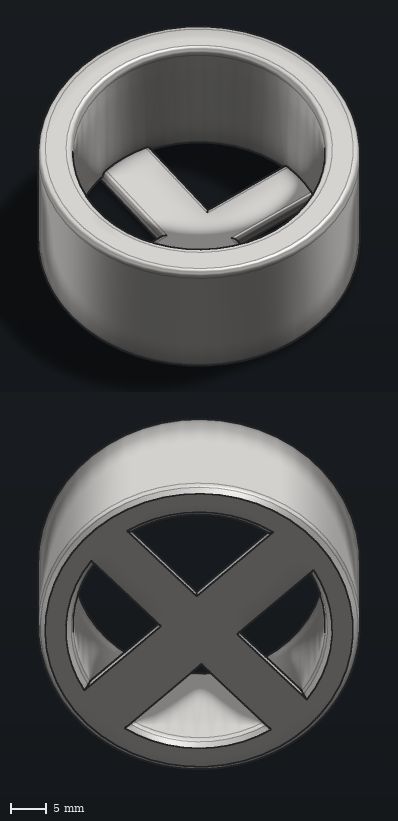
import cadquery as cq

outer_diameter = 46.0
bore_diameter = 36.0
height = 22.0
rim_fillet = 1.0
foot_chamfer = 1.0
foot_blend_radius = 1.0

bar_x_width = 8.4
bar_y_width = 7.05
web_height = 2.0
web_fillet = 0.7

outer_radius = outer_diameter / 2
bore_radius = bore_diameter / 2


def make_ring():
    """Wall with rounded top rims and chamfered bottom rims, blended into the cylinders."""
    ring = (
        cq.Workplane("XY")
        .circle(outer_radius)
        .circle(bore_radius)
        .extrude(height)
        .faces(">Z").edges().fillet(rim_fillet)
        .faces("<Z").edges().chamfer(foot_chamfer)
    )
    foot_corners = cq.selectors.BoxSelector(
        (-outer_radius, -outer_radius, foot_chamfer / 2),
        (outer_radius, outer_radius, foot_chamfer * 3 / 2),
    )
    return ring.edges("%CIRCLE").edges(foot_corners).fillet(foot_blend_radius)


def make_web():
    """Crossed bars with rounded upper edges, ending inside the ring wall."""
    end_radius = (outer_radius + bore_radius) / 2
    length = 2 * end_radius
    on_floor = (True, True, False)
    bar_x = cq.Workplane("XY").box(length, bar_x_width, web_height, centered=on_floor)
    bar_y = cq.Workplane("XY").box(bar_y_width, length, web_height, centered=on_floor)
    cross = bar_x.union(bar_y)
    long_edges = cross.faces(">Z").edges("not(>X or <X or >Y or <Y)")
    return long_edges.fillet(web_fillet)


result = make_ring().union(make_web())